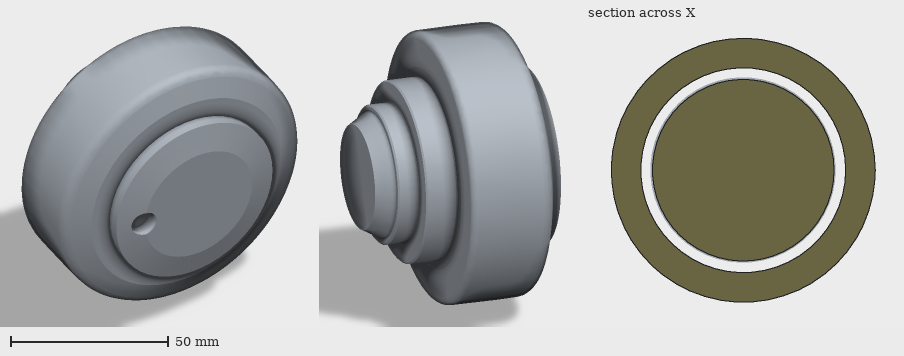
import cadquery as cq
import math


length = 61.0
pin_taper_length = 6.0
collar_end = 13.0
shoulder_end = 23.1
tyre_start = 23.6
tyre_end = 53.7
tyre_middle = (tyre_start + tyre_end) / 2
cap_start = 54.4
cap_taper_start = 58.4

pin_diameter = 34.0
collar_diameter = 45.0
shoulder_diameter = 59.0
seat_diameter = 65.0
tyre_diameter = 88.4
tyre_end_diameter = 70.5
cap_neck_diameter = 55.5
cap_diameter = 58.0
cap_face_diameter = 39.8

pin_taper_angle = 30.0
edge_chamfer = 0.5
collar_root_chamfer = 0.35
seat_step = 0.1
crown_radius = 499.5
tyre_taper_angle = 21.0
tyre_left_fillet = 2.1
tyre_right_fillet = 3.7

hole_diameter = 8.6
hole_depth = 4.4
hole_offset = 19.9


def revolve_profile(outline):
    """Spin a closed outline drawn in (axial station, radius) about X."""
    return outline.close().revolve(360, (0, 0, 0), (1, 0, 0))


def make_pin():
    """Tapered pin end, collar and shoulder, running on into the tyre."""
    taper_rise = pin_taper_length * math.tan(math.radians(pin_taper_angle))
    collar_radius = collar_diameter / 2
    shoulder_radius = shoulder_diameter / 2
    neck_radius = shoulder_radius - edge_chamfer
    return revolve_profile(
        cq.Workplane("XY")
        .moveTo(0, 0)
        .lineTo(0, pin_diameter / 2)
        .lineTo(pin_taper_length, pin_diameter / 2 + taper_rise)
        .lineTo(pin_taper_length, collar_radius - edge_chamfer)
        .lineTo(pin_taper_length + edge_chamfer, collar_radius)
        .lineTo(collar_end - collar_root_chamfer, collar_radius)
        .lineTo(collar_end, collar_radius + collar_root_chamfer)
        .lineTo(collar_end, shoulder_radius - edge_chamfer)
        .lineTo(collar_end + edge_chamfer, shoulder_radius)
        .lineTo(shoulder_end, shoulder_radius)
        .lineTo(shoulder_end, neck_radius)
        .lineTo(tyre_middle, neck_radius)
        .lineTo(tyre_middle, 0)
    )


def make_tyre():
    """Crowned tyre with a tapered +X side and rounded rims."""
    top_radius = tyre_diameter / 2
    end_radius = tyre_end_diameter / 2
    seat_radius = seat_diameter / 2
    taper_run = (top_radius - end_radius) * math.tan(math.radians(tyre_taper_angle))
    taper_start = tyre_end - taper_run
    crown_middle = (tyre_start + taper_start) / 2
    crown_half = (taper_start - tyre_start) / 2
    rim_radius = top_radius - crown_radius + math.sqrt(crown_radius**2 - crown_half**2)
    tyre = revolve_profile(
        cq.Workplane("XY")
        .moveTo(tyre_start + seat_step, 0)
        .lineTo(tyre_start + seat_step, seat_radius)
        .lineTo(tyre_start, seat_radius)
        .lineTo(tyre_start, rim_radius)
        .threePointArc((crown_middle, top_radius), (taper_start, rim_radius))
        .lineTo(tyre_end, end_radius)
        .lineTo(tyre_end, 0)
    )
    right_rim = cq.selectors.BoxSelector(
        (taper_start - seat_step, -tyre_diameter, -tyre_diameter),
        (taper_start + seat_step, tyre_diameter, tyre_diameter),
    )
    tyre = tyre.edges(right_rim).fillet(tyre_right_fillet)
    left_rim = cq.selectors.RadiusNthSelector(-1)
    return tyre.faces("<X").edges(left_rim).fillet(tyre_left_fillet)


def make_cap():
    """Bevelled end cap standing off the tyre on a short neck."""
    return revolve_profile(
        cq.Workplane("XY")
        .moveTo(tyre_middle, 0)
        .lineTo(tyre_middle, cap_neck_diameter / 2)
        .lineTo(cap_start, cap_neck_diameter / 2)
        .lineTo(cap_start, cap_diameter / 2)
        .lineTo(cap_taper_start, cap_diameter / 2)
        .lineTo(length, cap_face_diameter / 2)
        .lineTo(length, 0)
    )


def make_hole():
    """Axial hole that breaks through the bevel of the cap on the -Y side."""
    return (
        cq.Workplane("YZ", origin=(length - hole_depth, -hole_offset, 0))
        .circle(hole_diameter / 2)
        .extrude(hole_depth)
    )


result = make_pin().union(make_tyre()).union(make_cap()).cut(make_hole())